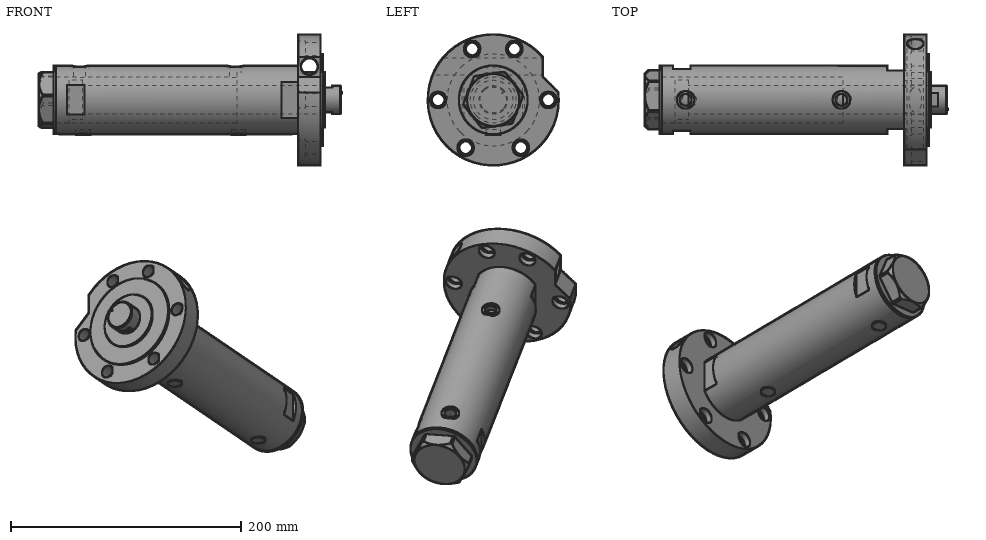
import cadquery as cq
import math

TOTAL_LENGTH = 263.5

HEX_END = 13.0
BARREL_START = 15.0
BORE_END = 172.3
NECK_START = 211.0
FLANGE_START = 225.5
FLANGE_END = 245.0
SPIGOT_END = 247.0
COLLAR_END = 249.0
ROD_FLAT_END = 255.0
ROD_END = 262.5

BARREL_D = 59.8
BORE_D = 40.0
CORE_D = 48.5
FLANGE_D = 114.0
SPIGOT_D = 80.0
NECK_ACROSS_FLATS = 51.0
WRENCH_FLAT_START = 24.8
WRENCH_FLAT_LENGTH = 15.0
WRENCH_ACROSS_FLATS = 54.0

BOLT_CIRCLE_R = 48.0
BOLT_ANGLES = (0, 67.5, 112.5, 180, 240, 300)
BOLT_HOLE_D = 11.0
COUNTERBORE_D = 14.2
COUNTERBORE_DEPTH = 6.3

NOTCH_FLAT_Y = -43.2
NOTCH_CORNER_Z = 20.0
CROSS_HOLE_D = 14.5
CROSS_HOLE_Z = 29.0

PORT_SPACING = 135.5
FIRST_PORT_X = 35.5
PORT_D = 10.3
SPOTFACE_D = 15.3
SPOTFACE_Z = 28.7
FIRST_SCREW_X = 38.7
SCREW_SPACING = 135.0
SCREW_D = 12.5
SCREW_HEAD_Z = -30.5
SCREW_TIP_Z = -25.8

HEX_ACROSS_FLATS = 45.8
HEX_CORNER_D = 52.0
HEX_FACE_D = 45.3
HEX_TURN = 21.6
PLUG_SHOULDER_END = 26.3
PLUG_SHANK_END = 38.2
PLUG_SHANK_D = 34.2

ROD_D = 24.8
ROD_ACROSS_FLATS = 21.9
ROD_CHAMFER = 0.8
NUB_D = 1.3
NUB_Y = -8.2
NUB_Z = 6.3


def cylinder_x(diameter, start, end, y=0, z=0):
    """Round bar along X between two stations."""
    plane = cq.Plane(origin=(start, y, z), xDir=(0, 0, 1), normal=(1, 0, 0))
    return cq.Workplane(plane).circle(diameter / 2).extrude(end - start)


def cylinder_z(diameter, x, bottom, top):
    """Round bar along Z, centred on Y = 0."""
    return cq.Workplane("XY", origin=(x, 0, bottom)).circle(diameter / 2).extrude(top - bottom)


def side_cutters(start, end, across_flats, bar_diameter):
    """Pair of blocks that leave two flats facing +Y and -Y on a round bar."""
    middle = (start + end) / 2
    offset = (across_flats + bar_diameter) / 2
    block = cq.Workplane().box(end - start, bar_diameter, 2 * bar_diameter)
    left = block.translate((middle, offset, 0))
    right = block.translate((middle, -offset, 0))
    return left.union(right)


def flange_notch():
    """Cutter with a flat facing -Y and a 45 degree ramp below it."""
    reach = FLANGE_D / 2
    return (
        cq.Workplane("YZ", origin=(FLANGE_START, 0, 0))
        .moveTo(NOTCH_FLAT_Y, reach)
        .lineTo(NOTCH_FLAT_Y, NOTCH_CORNER_Z)
        .lineTo(NOTCH_FLAT_Y - reach, NOTCH_CORNER_Z - reach)
        .lineTo(NOTCH_FLAT_Y - reach, reach)
        .close()
        .extrude(FLANGE_END - FLANGE_START)
    )


def make_housing():
    body = cylinder_x(BARREL_D, BARREL_START, FLANGE_START)
    wrench_flat_end = WRENCH_FLAT_START + WRENCH_FLAT_LENGTH
    body = body.cut(side_cutters(WRENCH_FLAT_START, wrench_flat_end, WRENCH_ACROSS_FLATS, BARREL_D))
    body = body.cut(side_cutters(NECK_START, FLANGE_START, NECK_ACROSS_FLATS, BARREL_D))

    flange = cylinder_x(FLANGE_D, FLANGE_START, FLANGE_END).cut(flange_notch())
    body = body.union(flange).union(cylinder_x(SPIGOT_D, FLANGE_END, SPIGOT_END))

    for angle in BOLT_ANGLES:
        y = BOLT_CIRCLE_R * math.cos(math.radians(angle))
        z = BOLT_CIRCLE_R * math.sin(math.radians(angle))
        body = body.cut(cylinder_x(BOLT_HOLE_D, FLANGE_START, FLANGE_END, y, z))
        body = body.cut(cylinder_x(COUNTERBORE_D, FLANGE_START, FLANGE_START + COUNTERBORE_DEPTH, y, z))

    cross_hole_x = (FLANGE_START + FLANGE_END) / 2
    cross_hole = (
        cq.Workplane("XZ", origin=(cross_hole_x, 0, CROSS_HOLE_Z))
        .circle(CROSS_HOLE_D / 2)
        .extrude(FLANGE_D / 2, both=True)
    )
    body = body.cut(cross_hole)

    for x in (FIRST_PORT_X, FIRST_PORT_X + PORT_SPACING):
        body = body.cut(cylinder_z(PORT_D, x, 0, BARREL_D / 2))
        body = body.cut(cylinder_z(SPOTFACE_D, x, SPOTFACE_Z, BARREL_D / 2))

    for screw in make_screws():
        body = body.cut(screw)

    body = body.cut(cylinder_x(BORE_D, BARREL_START, BORE_END))
    body = body.union(cylinder_x(CORE_D, BORE_END, COLLAR_END))
    return body.cut(cylinder_x(ROD_D, BORE_END, COLLAR_END))


def make_screws():
    """Headless screws that close blind holes under the barrel."""
    stations = (FIRST_SCREW_X, FIRST_SCREW_X + SCREW_SPACING)
    return [cylinder_z(SCREW_D, x, SCREW_HEAD_Z, SCREW_TIP_Z) for x in stations]


def make_plug():
    """Plug with a chamfered hexagonal head, a flange on the barrel end and a shank in the bore."""
    hex_bar = (
        cq.Workplane("YZ")
        .polygon(6, HEX_ACROSS_FLATS, circumscribed=True)
        .extrude(HEX_END)
        .rotate((0, 0, 0), (1, 0, 0), HEX_TURN)
    )
    head_chamfer = (HEX_CORNER_D - HEX_FACE_D) / 2
    turned_bar = cylinder_x(HEX_CORNER_D, 0, HEX_END).faces("<X").chamfer(head_chamfer)
    return (
        hex_bar.intersect(turned_bar)
        .union(cylinder_x(BARREL_D, HEX_END, BARREL_START))
        .union(cylinder_x(BORE_D, BARREL_START, PLUG_SHOULDER_END))
        .union(cylinder_x(PLUG_SHANK_D, PLUG_SHOULDER_END, PLUG_SHANK_END))
    )


def make_rod():
    """Round rod with a chamfered tip, two flats facing +Z and -Z, and a small nub on its end face."""
    bar = cylinder_x(ROD_D, PLUG_SHANK_END, ROD_END).faces(">X").chamfer(ROD_CHAMFER)
    flats = side_cutters(COLLAR_END, ROD_FLAT_END, ROD_ACROSS_FLATS, ROD_D)
    bar = bar.cut(flats.rotate((0, 0, 0), (1, 0, 0), 90))
    return bar.union(cylinder_x(NUB_D, ROD_END, TOTAL_LENGTH, NUB_Y, NUB_Z))


housing = make_housing()
plug = make_plug()
rod = make_rod()
screws = make_screws()

result = cq.Compound.makeCompound(
    [housing.val(), plug.val(), rod.val(), *[screw.val() for screw in screws]]
)